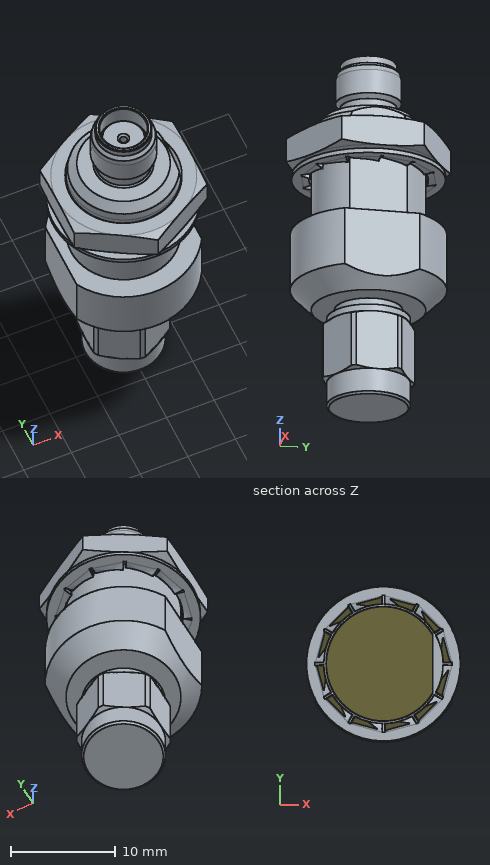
import cadquery as cq
import math

TOTAL_HEIGHT = 35.3

SLEEVE_RADIUS = 4.02
SLEEVE_TOP_Z = 9.15
SLEEVE_EDGE_CHAMFER = 0.2
GRIP_ACROSS_FLATS = 2 * SLEEVE_RADIUS
GRIP_CORNER_RADIUS = 9.0 / 2
GRIP_BOTTOM_Z = 2.55
GRIP_TOP_Z = 8.47
GRIP_BEVEL_ANGLE = 27.0
NECK_RADIUS = 3.3

FLANGE_RADIUS = 15.07 / 2
FLANGE_ACROSS_FLATS = 13.15
FLANGE_BOTTOM_Z = 10.05
FLANGE_TOP_Z = 17.83

BARREL_RADIUS = 5.5
BARREL_TAPER_Z = 27.85
BARREL_SHOULDER_RADIUS = 5.35
BARREL_SHOULDER_Z = 28.6
BARREL_TOP_RADIUS = 4.5
BARREL_TOP_Z = 29.45
BARREL_FLAT_X = 4.73

NUT_ACROSS_FLATS = 14.0
NUT_BOTTOM_Z = 24.43
NUT_TOP_Z = 27.4
NUT_BEVEL_ANGLE = 15.0
NUT_BORE_RADIUS = 5.1
NUT_COUNTERSINK_RADIUS = 5.6

TUBE_RADIUS = 5.47 / 2
TUBE_FOOT_CONE = 0.18
BAND_RADIUS = 3.18
BAND_LOWER_CONE_Z = 30.8
BAND_BOTTOM_Z = 31.25
BAND_TOP_Z = 33.68
BAND_SHOULDER_RADIUS = 3.07
BAND_SHOULDER_Z = 34.17
BAND_UPPER_CONE_Z = 34.52

SOCKET_RADIUS = 2.3
SOCKET_DEPTH = 2.12
SOCKET_RIM_CHAMFER = 0.1
INSULATOR_RADIUS = 4.13 / 2
INSULATOR_RECESS = 1.73
CONTACT_RADIUS = 0.55
CONTACT_HOLE_RADIUS = 0.35
CONTACT_HOLE_DEPTH = 1.75

WASHER_RADIUS = 14.8 / 2
WASHER_BOTTOM_Z = 23.45
WASHER_THICKNESS = 0.45
WASHER_BORE_RADIUS = 5.72
TOOTH_COUNT = 12
TOOTH_ROOT_RADIUS = 6.55
TOOTH_TWIST_START = 6.35
TOOTH_TWIST_ANGLE = -9.0
TOOTH_SLOT_WIDTH = 0.25


def revolve_profile(points):
    """Solid of revolution about Z from (radius, z) points."""
    return cq.Workplane("XZ").polyline(points).close().revolve(360, (0, 0, 0), (0, 1, 0))


def cylinder(radius, bottom_z, top_z):
    return cq.Workplane("XY").workplane(offset=bottom_z).circle(radius).extrude(top_z - bottom_z)


def bevelled_hexagon(across_flats, corner_radius, bevel_radius, bevel_angle, bottom_z, top_z):
    """Hexagonal prism with flats facing X and its corners turned and bevelled at both ends."""
    corner_to_corner = across_flats / math.cos(math.pi / 6)
    prism = (
        cq.Workplane("XY").workplane(offset=bottom_z)
        .transformed(rotate=(0, 0, 30))
        .polygon(6, corner_to_corner)
        .extrude(top_z - bottom_z)
    )
    drop = (corner_radius - bevel_radius) * math.tan(math.radians(bevel_angle))
    envelope = revolve_profile([
        (0, bottom_z),
        (bevel_radius, bottom_z),
        (corner_radius, bottom_z + drop),
        (corner_radius, top_z - drop),
        (bevel_radius, top_z),
        (0, top_z),
    ])
    return prism.intersect(envelope)


def make_plug():
    """Sleeve, hexagonal grip and neck below the flange."""
    sleeve = cylinder(SLEEVE_RADIUS, 0, GRIP_BOTTOM_Z).faces("<Z").chamfer(SLEEVE_EDGE_CHAMFER)
    collar = cylinder(SLEEVE_RADIUS, GRIP_TOP_Z, SLEEVE_TOP_Z)
    grip = bevelled_hexagon(GRIP_ACROSS_FLATS, GRIP_CORNER_RADIUS, SLEEVE_RADIUS,
                            GRIP_BEVEL_ANGLE, GRIP_BOTTOM_Z, GRIP_TOP_Z)
    neck = cylinder(NECK_RADIUS, SLEEVE_TOP_Z, FLANGE_BOTTOM_Z)
    return sleeve.union(grip).union(collar).union(neck)


def make_flange():
    """Disc with a 45 degree underside, cut by two flats facing X."""
    cone_height = FLANGE_RADIUS - BARREL_RADIUS
    disc = revolve_profile([
        (0, FLANGE_BOTTOM_Z),
        (BARREL_RADIUS, FLANGE_BOTTOM_Z),
        (FLANGE_RADIUS, FLANGE_BOTTOM_Z + cone_height),
        (FLANGE_RADIUS, FLANGE_TOP_Z),
        (0, FLANGE_TOP_Z),
    ])
    flats = cq.Workplane("XY").box(FLANGE_ACROSS_FLATS, 2 * FLANGE_RADIUS, 2 * TOTAL_HEIGHT)
    return disc.intersect(flats)


def make_barrel():
    """Barrel with a double-tapered top, cut by the flat on +X."""
    barrel = revolve_profile([
        (0, FLANGE_TOP_Z),
        (BARREL_RADIUS, FLANGE_TOP_Z),
        (BARREL_RADIUS, BARREL_TAPER_Z),
        (BARREL_SHOULDER_RADIUS, BARREL_SHOULDER_Z),
        (BARREL_TOP_RADIUS, BARREL_TOP_Z),
        (0, BARREL_TOP_Z),
    ])
    beyond_flat = (
        cq.Workplane("XY")
        .box(BARREL_RADIUS, 2 * BARREL_RADIUS, 2 * TOTAL_HEIGHT)
        .translate((BARREL_FLAT_X + BARREL_RADIUS / 2, 0, 0))
    )
    return barrel.cut(beyond_flat)


def make_nut():
    """Hexagonal nut whose bore is countersunk at both ends."""
    corner_radius = NUT_ACROSS_FLATS / 2 / math.cos(math.pi / 6)
    nut = bevelled_hexagon(NUT_ACROSS_FLATS, corner_radius, NUT_ACROSS_FLATS / 2,
                           NUT_BEVEL_ANGLE, NUT_BOTTOM_Z, NUT_TOP_Z)
    countersink = NUT_COUNTERSINK_RADIUS - NUT_BORE_RADIUS
    bore = revolve_profile([
        (0, NUT_BOTTOM_Z),
        (NUT_COUNTERSINK_RADIUS, NUT_BOTTOM_Z),
        (NUT_BORE_RADIUS, NUT_BOTTOM_Z + countersink),
        (NUT_BORE_RADIUS, NUT_TOP_Z - countersink),
        (NUT_COUNTERSINK_RADIUS, NUT_TOP_Z),
        (0, NUT_TOP_Z),
    ])
    return nut.cut(bore)


def make_socket():
    """Tube with its threaded band, hollow around an insulator and a centre contact hole."""
    insulator_z = TOTAL_HEIGHT - INSULATOR_RECESS
    floor_z = TOTAL_HEIGHT - SOCKET_DEPTH
    countersink = CONTACT_RADIUS - CONTACT_HOLE_RADIUS
    return revolve_profile([
        (0, BARREL_TOP_Z),
        (TUBE_RADIUS + TUBE_FOOT_CONE, BARREL_TOP_Z),
        (TUBE_RADIUS, BARREL_TOP_Z + TUBE_FOOT_CONE),
        (TUBE_RADIUS, BAND_LOWER_CONE_Z),
        (BAND_RADIUS, BAND_BOTTOM_Z),
        (BAND_RADIUS, BAND_TOP_Z),
        (BAND_SHOULDER_RADIUS, BAND_SHOULDER_Z),
        (TUBE_RADIUS, BAND_UPPER_CONE_Z),
        (TUBE_RADIUS, TOTAL_HEIGHT - SOCKET_RIM_CHAMFER),
        (TUBE_RADIUS - SOCKET_RIM_CHAMFER, TOTAL_HEIGHT),
        (SOCKET_RADIUS + SOCKET_RIM_CHAMFER, TOTAL_HEIGHT),
        (SOCKET_RADIUS, TOTAL_HEIGHT - SOCKET_RIM_CHAMFER),
        (SOCKET_RADIUS, floor_z),
        (INSULATOR_RADIUS, floor_z),
        (INSULATOR_RADIUS, insulator_z),
        (CONTACT_RADIUS, insulator_z),
        (CONTACT_HOLE_RADIUS, insulator_z - countersink),
        (CONTACT_HOLE_RADIUS, insulator_z - CONTACT_HOLE_DEPTH),
        (0, insulator_z - CONTACT_HOLE_DEPTH),
    ])


def make_connector():
    """Connector: plug, flange, barrel, nut and socket in one solid."""
    return make_plug().union(make_flange()).union(make_barrel()).union(make_nut()).union(make_socket())


def tooth_section(distance, twist):
    """Rectangular tooth section across +X at a distance from the axis, twisted about X."""
    width = 2 * distance * math.tan(math.pi / TOOTH_COUNT) - TOOTH_SLOT_WIDTH
    plane = cq.Plane(origin=(distance, 0, 0), xDir=(0, 1, 0), normal=(1, 0, 0))
    return cq.Workplane(plane).transformed(rotate=(0, 0, twist)).rect(width, WASHER_THICKNESS).val()


def make_washer():
    """Lock washer: a flat rim carrying twisted teeth that point inwards."""
    rim = (
        cq.Workplane("XY").workplane(offset=-WASHER_THICKNESS / 2)
        .circle(WASHER_RADIUS)
        .circle(TOOTH_ROOT_RADIUS)
        .extrude(WASHER_THICKNESS)
    )
    tooth_tip = WASHER_BORE_RADIUS * math.cos(math.pi / TOOTH_COUNT)
    twisted_part = cq.Solid.makeLoft([
        tooth_section(tooth_tip, TOOTH_TWIST_ANGLE),
        tooth_section(TOOTH_TWIST_START, 0),
    ], True)
    flat_part = cq.Solid.makeLoft([
        tooth_section(TOOTH_TWIST_START, 0),
        tooth_section(TOOTH_ROOT_RADIUS, 0),
    ], True)
    tooth = cq.Workplane(twisted_part).union(cq.Workplane(flat_part))
    washer = rim
    for index in range(TOOTH_COUNT):
        angle = (index + 0.5) * 360 / TOOTH_COUNT
        washer = washer.union(tooth.rotate((0, 0, 0), (0, 0, 1), angle))
    bore = cylinder(WASHER_BORE_RADIUS, -2 * WASHER_THICKNESS, 2 * WASHER_THICKNESS)
    return washer.cut(bore).translate((0, 0, WASHER_BOTTOM_Z + WASHER_THICKNESS / 2))


connector = make_connector()
lock_washer = make_washer()
result = cq.Compound.makeCompound([connector.solids().val(), lock_washer.solids().val()])